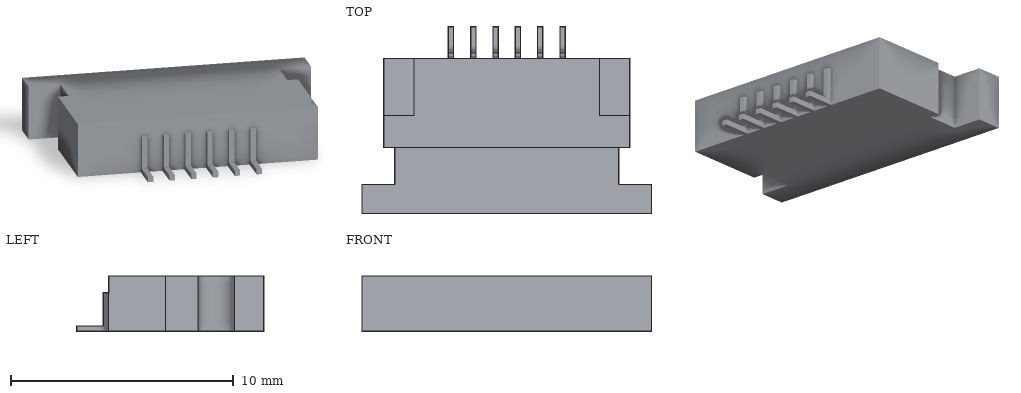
import cadquery as cq

total_width = 13.0
total_depth = 8.4
height = 2.5

bar_depth = 1.31
neck_width = 10.06
neck_depth = 1.65

housing_width = 11.05
housing_depth = 4.0
housing_front = bar_depth + neck_depth
housing_rear = housing_front + housing_depth

block_width = 1.35
block_depth = 2.56
block_offset = (housing_width - block_width) / 2

pin_count = 6
pin_pitch = 1.0
pin_width = 0.25
pin_thickness = 0.25
pin_height = 1.74


def box_from_front(width, depth, front, center_x=0):
    """Full-height box standing on the board plane, starting at Y = front."""
    box = cq.Workplane("XY").box(width, depth, height, centered=(True, False, False))
    return box.translate((center_x, front, 0))


def make_slider():
    bar = box_from_front(total_width, bar_depth, 0)
    neck = box_from_front(neck_width, neck_depth, bar_depth)
    return bar.union(neck)


def make_corner_block(side):
    """Rear corner block; side is -1 for left and 1 for right."""
    return box_from_front(block_width, block_depth, housing_rear - block_depth, side * block_offset)


def make_housing(blocks):
    body = box_from_front(housing_width, housing_depth, housing_front)
    for block in blocks:
        body = body.cut(block)
    return body


def make_pin(center_x):
    """Upright leg against the housing rear, with a foot flat on the board plane."""
    profile = [
        (housing_rear, 0),
        (total_depth, 0),
        (total_depth, pin_thickness),
        (housing_rear + pin_thickness, pin_thickness),
        (housing_rear + pin_thickness, pin_height),
        (housing_rear, pin_height),
    ]
    pin = cq.Workplane("YZ").polyline(profile).close().extrude(pin_width)
    return pin.translate((center_x - pin_width / 2, 0, 0))


slider = make_slider()
corner_blocks = [make_corner_block(side) for side in (-1, 1)]
housing = make_housing(corner_blocks)
pins = [make_pin((index - (pin_count - 1) / 2) * pin_pitch) for index in range(pin_count)]

result = cq.Compound.makeCompound(
    [body.val() for body in [slider, housing, *corner_blocks, *pins]]
)